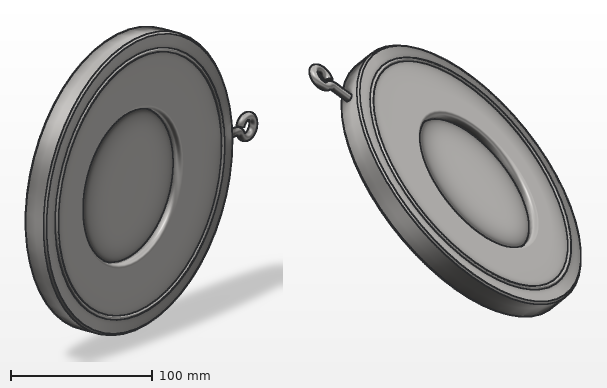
import cadquery as cq
import math

disc_diameter = 220.0
disc_thickness = 18.8
edge_chamfer = 1.5

bead_radius = 1.47
bead_circle_radius = 97.0

recess_center_y = -8.0
recess_diameter = 112.0
recess_depth = 6.7
recess_lip_radius = 3.0

overall_length = 258.0
wire_diameter = 6.0
eye_radius = 7.7
bend_radius = 6.7
eye_end_angle = 16.0
shank_embedment = 5.2

disc_radius = disc_diameter / 2
half_thickness = disc_thickness / 2


def make_disc():
    disc = cq.Workplane("YZ").circle(disc_radius).extrude(half_thickness, both=True)
    return disc.faces("<X or >X").edges().chamfer(edge_chamfer)


def make_bead(face_x):
    """Ring of round section centred on a disc face, so half of it stands proud."""
    section = cq.Workplane("XY").center(face_x, bead_circle_radius).circle(bead_radius)
    return section.revolve(360, (-face_x, -bead_circle_radius, 0), (2.5 - face_x, -bead_circle_radius, 0))


def make_recess_cutter(side):
    """Recess with a rounded lip; side is -1 or +1 along X."""
    face_x = side * half_thickness
    floor_x = side * (half_thickness - recess_depth)
    lip_start_x = side * (half_thickness - recess_lip_radius)
    radius = recess_diameter / 2
    mouth_radius = radius + recess_lip_radius
    lip_offset = recess_lip_radius * math.sqrt(0.5)
    lip_middle = (lip_start_x + side * lip_offset, mouth_radius - lip_offset)
    profile = (
        cq.Workplane("XY")
        .moveTo(floor_x, 0)
        .lineTo(floor_x, radius)
        .lineTo(lip_start_x, radius)
        .threePointArc(lip_middle, (face_x, mouth_radius))
        .lineTo(face_x, 0)
        .close()
    )
    return profile.revolve(360, (0, 0, 0), (1, 0, 0)).translate((0, recess_center_y, 0))


def make_eye():
    """Sweep the wire along the shank, through the bend and around the eye."""
    eye_y = overall_length - disc_radius - wire_diameter / 2 - eye_radius
    bend_angle = math.asin(bend_radius / (eye_radius + bend_radius))
    bend_y = eye_y - (eye_radius + bend_radius) * math.cos(bend_angle)

    def on_bend(angle):
        return (bend_y + bend_radius * math.cos(angle), bend_radius * (math.sin(angle) - 1))

    def on_eye(angle):
        return (eye_y - eye_radius * math.cos(angle), eye_radius * math.sin(angle))

    end_angle = 2 * math.pi - math.radians(eye_end_angle)
    shank_start_y = disc_radius - shank_embedment
    path = (
        cq.Workplane("YZ")
        .moveTo(shank_start_y, 0)
        .lineTo(bend_y, 0)
        .threePointArc(on_bend((math.pi / 2 + bend_angle) / 2), on_eye(-bend_angle))
        .threePointArc(on_eye(-(bend_angle + end_angle) / 2), on_eye(-end_angle))
    )
    section = cq.Workplane("XZ", origin=(0, shank_start_y, 0)).circle(wire_diameter / 2)
    return section.sweep(path)


result = make_disc()
for side in (-1, 1):
    result = result.union(make_bead(side * half_thickness))
    result = result.cut(make_recess_cutter(side))
result = result.union(make_eye())